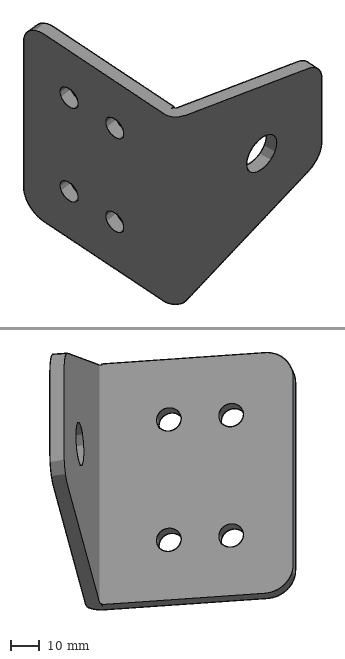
import cadquery as cq

height = 90.0
leg_length = 73.2
thickness = 5.0
inner_bend_radius = 0.6
outer_bend_radius = inner_bend_radius + thickness
corner_radius = 10.0

mount_hole_diameter = 8.6
mount_spacing_x = 22.0
mount_spacing_z = 45.0
mount_center_x = 32.85

taper_start_y = 3.8
tip_height = 45.0
pivot_hole_diameter = 15.0
pivot_hole_y = 43.0


def make_bent_sheet():
    """L-shaped sheet with a rounded bend, centred on Z = 0."""
    inner_x = leg_length - thickness
    sheet = (
        cq.Workplane("XY")
        .moveTo(0, 0)
        .lineTo(leg_length - outer_bend_radius, 0)
        .radiusArc((leg_length, outer_bend_radius), -outer_bend_radius)
        .lineTo(leg_length, leg_length)
        .lineTo(inner_x, leg_length)
        .lineTo(inner_x, outer_bend_radius)
        .radiusArc((leg_length - outer_bend_radius, thickness), inner_bend_radius)
        .lineTo(0, thickness)
        .close()
        .extrude(height / 2, both=True)
    )
    return sheet.edges("|Y and <X").fillet(corner_radius)


def make_side_envelope():
    """Side outline of the bracket: straight at the bend, tapering to a rounded tip."""
    outline = [
        (0, -height / 2),
        (taper_start_y, -height / 2),
        (leg_length, -tip_height / 2),
        (leg_length, tip_height / 2),
        (taper_start_y, height / 2),
        (0, height / 2),
    ]
    envelope = cq.Workplane("YZ").polyline(outline).close().extrude(leg_length)
    return envelope.edges("|X and >Y").fillet(corner_radius)


def make_mounting_holes():
    return (
        cq.Workplane("XZ")
        .center(mount_center_x, 0)
        .rarray(mount_spacing_x, mount_spacing_z, 2, 2)
        .circle(mount_hole_diameter / 2)
        .extrude(-thickness)
    )


def make_pivot_hole():
    return (
        cq.Workplane("YZ", origin=(leg_length - thickness, pivot_hole_y, 0))
        .circle(pivot_hole_diameter / 2)
        .extrude(thickness)
    )


side_start_x = leg_length - outer_bend_radius
front_region = cq.Workplane("XY").box(
    side_start_x, thickness, height, centered=(False, False, True)
)
bent_sheet = make_bent_sheet()
keep_region = make_side_envelope().union(front_region)
result = bent_sheet.intersect(keep_region).cut(make_mounting_holes()).cut(make_pivot_hole())